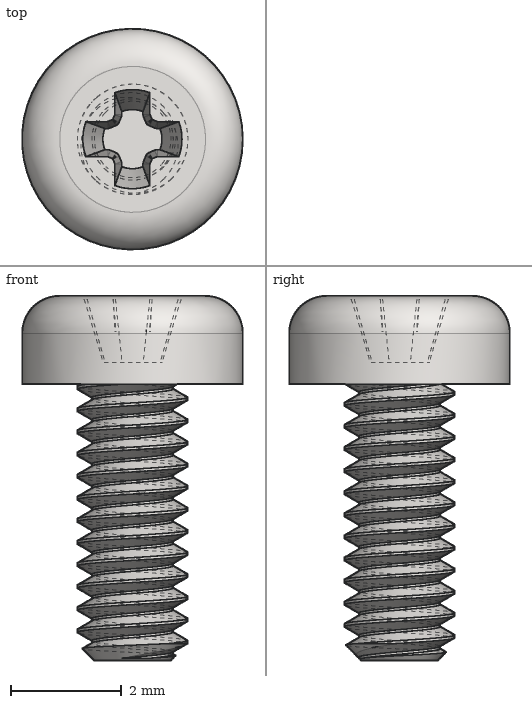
import cadquery as cq
import math

total_length = 6.6
head_diameter = 4.0
head_height = 1.6
head_edge_radius = 0.68
shank_length = total_length - head_height

thread_diameter = 2.0
thread_pitch = 0.4
thread_depth = 0.265
crest_width = thread_pitch / 8
crest_height_at_x = 0.335
flank_angle = 30.0
tip_diameter = 1.385

recess_depth = 1.2
recess_top_radius = 0.9
recess_floor_radius = 0.535
slot_top_width = 0.635
slot_floor_width = 0.38
corner_facet_start = 0.45
corner_ridge = 0.355

core_overlap = 0.02


def make_head():
    blank = cq.Workplane("XY").workplane(offset=shank_length).circle(head_diameter / 2)
    blank = blank.extrude(head_height)
    return blank.faces(">Z").edges().fillet(head_edge_radius)


def make_recess():
    """Tapered cross with two facets on each inner corner and arm ends bounded by a cone."""
    side_inset = (slot_top_width - slot_floor_width) / 2
    side_taper = math.degrees(math.atan(side_inset / recess_depth))
    half_width = slot_top_width / 2
    arm_reach = 2 * recess_top_radius
    outline = []
    for quarter_turn in range(4):
        angle = math.radians(90 * quarter_turn)
        for x, y in [
            (arm_reach, half_width),
            (corner_facet_start, half_width),
            (corner_ridge, corner_ridge),
            (half_width, corner_facet_start),
            (half_width, arm_reach),
        ]:
            outline.append((
                x * math.cos(angle) - y * math.sin(angle),
                x * math.sin(angle) + y * math.cos(angle),
            ))
    top = cq.Workplane("XY").workplane(offset=total_length)
    tapered_cross = top.polyline(outline).close().extrude(-recess_depth, taper=side_taper)
    cone = top.circle(recess_top_radius).workplane(offset=-recess_depth).circle(recess_floor_radius).loft()
    return tapered_cross.intersect(cone)


def make_thread_ridge():
    """Helical ridge with a flat crest, running past both ends of the shank."""
    crest_radius = thread_diameter / 2
    inner_radius = crest_radius - thread_depth - core_overlap
    flank_slope = math.tan(math.radians(flank_angle))
    crest_half_width = crest_width / 2
    inner_half_width = crest_half_width + (crest_radius - inner_radius) * flank_slope

    start_z = crest_height_at_x - 2 * thread_pitch
    turns = math.ceil((shank_length - start_z) / thread_pitch) + 1
    path = cq.Wire.makeHelix(thread_pitch, turns * thread_pitch, crest_radius)
    profile = cq.Workplane("XZ").polyline([
        (inner_radius, -inner_half_width),
        (crest_radius, -crest_half_width),
        (crest_radius, crest_half_width),
        (inner_radius, inner_half_width),
    ]).close()
    return profile.sweep(cq.Workplane(path), isFrenet=True).translate((0, 0, start_z))


def make_shank():
    """Threaded shank, trimmed flat under the head and to a 45 degree tip cone."""
    tip_radius = tip_diameter / 2
    trim_radius = thread_diameter
    trim = cq.Workplane("XZ").polyline([
        (0, 0),
        (tip_radius, 0),
        (trim_radius, trim_radius - tip_radius),
        (trim_radius, shank_length),
        (0, shank_length),
    ]).close().revolve(360, (0, 0), (0, 1))
    core_radius = thread_diameter / 2 - thread_depth
    core_overrun = thread_pitch
    core_length = shank_length + 2 * core_overrun
    core = cq.Workplane("XY").workplane(offset=-core_overrun).circle(core_radius).extrude(core_length)
    core = core.rotate((0, 0, 0), (0, 0, 1), 90)
    return core.union(make_thread_ridge()).intersect(trim)


result = make_head().cut(make_recess()).union(make_shank())